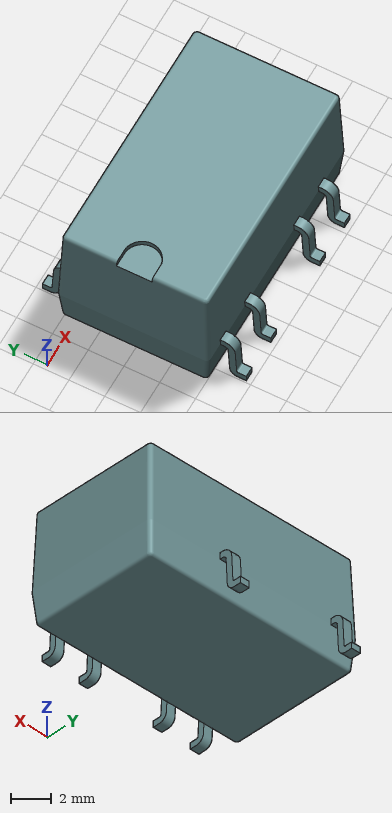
import math
import cadquery as cq

body_length = 14.2
body_width = 8.5
body_bottom = 0.25
parting_height = 2.25
body_top = 7.25
upper_draft = 2.0
lower_draft = 5.0
corner_radius = 0.248
rim_radius = 0.2

mark_width = 1.99
mark_depth = 0.3
mark_center_x = -6.12

lead_span = 11.4
lead_width = 0.6
lead_thickness = 0.4
lead_pitch = 2.54
first_lead_x = -5.6
front_slots = (0, 1, 3, 4)
rear_slots = (0, 3)
leg_lean = 3.0
foot_length = 0.44
upper_bend_inner_radius = 0.248
lower_bend_inner_radius = 0.1
lead_embed = 0.43


def make_body_half(height, draft):
    """Tapered block growing from the parting plane; a negative height grows downwards."""
    return (
        cq.Workplane("XY", origin=(0, 0, parting_height))
        .rect(body_length, body_width)
        .extrude(height, taper=draft)
    )


def make_body():
    upper = make_body_half(body_top - parting_height, upper_draft)
    lower = make_body_half(body_bottom - parting_height, lower_draft)
    body = upper.union(lower)
    body = body.edges("not(|X or |Y)").fillet(corner_radius)
    return body.faces("<Z or >Z").edges().fillet(rim_radius)


def make_mark():
    """Cutter for the index mark."""
    floor = cq.Workplane("XY", origin=(mark_center_x, 0, body_top - mark_depth))
    straight_length = mark_center_x + body_length / 2
    round_end = floor.circle(mark_width / 2).extrude(mark_depth)
    straight = floor.center(-straight_length / 2, 0).rect(straight_length, mark_width).extrude(mark_depth)
    return round_end.union(straight)


def make_front_lead(x):
    """Lead on the -Y side: a rectangular strip swept along its bent centre line."""
    lean = math.radians(leg_lean)
    upper_radius = upper_bend_inner_radius + lead_thickness / 2
    lower_radius = lower_bend_inner_radius + lead_thickness / 2
    shoulder_z = parting_height + lead_thickness / 2
    foot_z = lead_thickness / 2

    bend_out = math.cos(lean)
    bend_drop = 1 - math.sin(lean)
    leg_drop = shoulder_z - foot_z - (upper_radius + lower_radius) * bend_drop
    leg_out = leg_drop * math.tan(lean)

    tip_y = -lead_span / 2
    foot_y = tip_y + foot_length
    leg_bottom = (foot_y + lower_radius * bend_out, foot_z + lower_radius * bend_drop)
    leg_top = (leg_bottom[0] + leg_out, leg_bottom[1] + leg_drop)
    shoulder_y = leg_top[0] + upper_radius * bend_out
    root_y = -body_width / 2 + lead_embed

    center_line = (
        cq.Workplane("YZ", origin=(x, 0, 0))
        .moveTo(root_y, shoulder_z)
        .lineTo(shoulder_y, shoulder_z)
        .tangentArcPoint(leg_top, relative=False)
        .lineTo(*leg_bottom)
        .tangentArcPoint((foot_y, foot_z), relative=False)
        .lineTo(tip_y, foot_z)
    )
    section = cq.Workplane("XZ", origin=(x, root_y, shoulder_z)).rect(lead_width, lead_thickness)
    return section.sweep(center_line)


result = make_body().cut(make_mark())
for slot in front_slots:
    result = result.union(make_front_lead(first_lead_x + slot * lead_pitch))
for slot in rear_slots:
    result = result.union(make_front_lead(first_lead_x + slot * lead_pitch).mirror("XZ"))